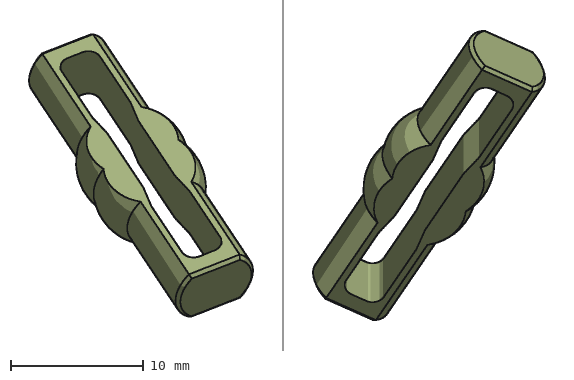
import cadquery as cq

length = 25.0
height = 5.0
bar_radius = 3.3
end_chamfer = 0.28

grip_width = 8.58
ball_radius = grip_width / 2
ball_offset = 1.42

slot_half_length = 11.0
slot_half_width = 1.62
waist_half_width = 1.32
waist_half_length = 3.02
taper_end = 4.92
slot_corner_radius = 1.0


def make_bar():
    """Flat-sided bar with chamfered ends."""
    flats = cq.Workplane("XY").box(length, 2 * bar_radius, height)
    bar = cq.Workplane("YZ").circle(bar_radius).extrude(length / 2, both=True).intersect(flats)
    return bar.faces("<X or >X").chamfer(end_chamfer)


def make_grip():
    """Two balls side by side, cut flush with the flats of the bar."""
    centres = [(-ball_offset, 0), (ball_offset, 0)]
    balls = cq.Workplane("XY").pushPoints(centres).sphere(ball_radius)
    flats = cq.Workplane("XY").box(length, grip_width, height)
    return balls.intersect(flats)


def make_slot():
    """Cutter for the waisted slot, with rounded corners at both ends."""
    upper_edge = [
        (-slot_half_length, slot_half_width),
        (-taper_end, slot_half_width),
        (-waist_half_length, waist_half_width),
        (waist_half_length, waist_half_width),
        (taper_end, slot_half_width),
        (slot_half_length, slot_half_width),
    ]
    lower_edge = [(-x, -y) for x, y in upper_edge]
    slot = cq.Workplane("XY").polyline(upper_edge + lower_edge).close().extrude(height / 2, both=True)
    return slot.edges("|Z and (<X or >X)").fillet(slot_corner_radius)


result = make_bar().union(make_grip()).cut(make_slot())